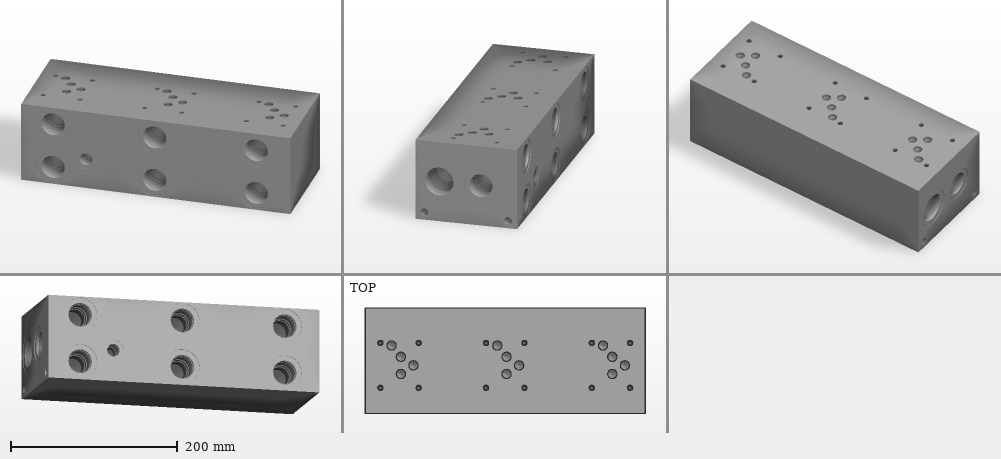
import cadquery as cq
import math

LENGTH = 336.55
WIDTH = 127.0
HEIGHT = 101.6

SPOTFACE_DEPTH = 0.8
SEAL_CONE_LENGTH = 3.0
MEDIUM_PORT = dict(
    spotface=42.04, cone_mouth=29.2, cone_root=27.43, thread=26.99, minor=24.92, drill=23.01,
    thread_depth=20.0, minor_depth=25.0, drill_depth=40.0,
)
LARGE_PORT = dict(
    spotface=49.12, cone_mouth=35.7, cone_root=33.76, thread=33.34, minor=31.27, drill=28.57,
    thread_depth=20.0, minor_depth=25.0, drill_depth=40.0,
)
GAUGE_PORT = dict(
    spotface=25.2, cone_mouth=15.5, cone_root=14.7, thread=14.29, minor=12.9, drill=11.91,
    thread_depth=13.0, minor_depth=16.0, drill_depth=25.0,
)

VALVE_BOLT_HOLE = dict(thread=6.35, drill=5.11, thread_depth=11.0, drill_depth=15.0)
MOUNTING_HOLE = dict(thread=9.53, drill=7.92, thread_depth=15.0, drill_depth=20.0)

DRILL_POINT_ANGLE = 118.0

STATION_COUNT = 3
STATION_PITCH = 127.0
BOLT_SPAN_X = 46.0
BOLT_SPAN_Y = 54.0
FIRST_BOLT_X = (LENGTH - (STATION_COUNT - 1) * STATION_PITCH - BOLT_SPAN_X) / 2
FIRST_BOLT_Y = 30.95

VALVE_PORT_DIAMETER = 11.11
VALVE_PORT_DEPTH = 3.2
VALVE_PORT_OFFSETS = [(13.5, 50.8), (24.6, 37.3), (24.6, 16.7), (39.7, 27.0)]

FIRST_WORK_PORT_X = 39.69
WORK_PORT_EDGE = 22.3
WORK_PORT_HEIGHTS = [WORK_PORT_EDGE, HEIGHT - WORK_PORT_EDGE]
GAUGE_PORT_X = 80.9
GAUGE_PORT_Z = 38.1

TANK_PORT_Y = 97.4
PRESSURE_PORT_Y = 45.4
MOUNTING_HOLE_EDGE = 11.1
MOUNTING_HOLE_Z = 9.53


def front_plane(x, z):
    """Sketch plane at a point of the front face; its local Y points into the block."""
    return cq.Plane(origin=(x, 0, z), xDir=(1, 0, 0), normal=(0, 0, 1))


def end_plane(y, z):
    """Sketch plane at a point of the X = 0 face; its local Y points into the block."""
    return cq.Plane(origin=(0, y, z), xDir=(0, 1, 0), normal=(0, 0, -1))


def top_plane(x, y):
    """Sketch plane at a point of the top face; its local Y points into the block."""
    return cq.Plane(origin=(x, y, HEIGHT), xDir=(1, 0, 0), normal=(0, 1, 0))


def bore(plane, steps):
    """Revolved bore from (diameter, depth) steps, closed by a drill point below the last step."""
    wall = [(diameter / 2, depth) for diameter, depth in steps]
    last_radius, last_depth = wall[-1]
    point_length = last_radius / math.tan(math.radians(DRILL_POINT_ANGLE / 2))
    profile = [(0, 0)] + wall + [(0, last_depth + point_length)]
    return cq.Workplane(plane).polyline(profile).close().revolve(360, (0, 0), (0, 1))


def tapped_port(plane, size):
    cone_depth = SPOTFACE_DEPTH + SEAL_CONE_LENGTH
    steps = [
        (size["spotface"], 0),
        (size["spotface"], SPOTFACE_DEPTH),
        (size["cone_mouth"], SPOTFACE_DEPTH),
        (size["cone_root"], cone_depth),
        (size["thread"], cone_depth),
        (size["thread"], size["thread_depth"]),
        (size["minor"], size["thread_depth"]),
        (size["minor"], size["minor_depth"]),
        (size["drill"], size["minor_depth"]),
        (size["drill"], size["drill_depth"]),
    ]
    return bore(plane, steps)


def bolt_hole(plane, size):
    steps = [
        (size["thread"], 0),
        (size["thread"], size["thread_depth"]),
        (size["drill"], size["thread_depth"]),
        (size["drill"], size["drill_depth"]),
    ]
    return bore(plane, steps)


def valve_port(plane):
    return bore(plane, [(VALVE_PORT_DIAMETER, 0), (VALVE_PORT_DIAMETER, VALVE_PORT_DEPTH)])


def station_bores(shift):
    """Bolt holes, valve ports and work ports of the station shifted along X."""
    bolt_x = FIRST_BOLT_X + shift
    bores = []
    for dx in (0, BOLT_SPAN_X):
        for dy in (0, BOLT_SPAN_Y):
            bores.append(bolt_hole(top_plane(bolt_x + dx, FIRST_BOLT_Y + dy), VALVE_BOLT_HOLE))
    for dx, dy in VALVE_PORT_OFFSETS:
        bores.append(valve_port(top_plane(bolt_x + dx, FIRST_BOLT_Y + dy)))
    for z in WORK_PORT_HEIGHTS:
        bores.append(tapped_port(front_plane(FIRST_WORK_PORT_X + shift, z), MEDIUM_PORT))
    return bores


def end_face_bores():
    """Tank port, pressure port and the two mounting holes."""
    bores = [
        tapped_port(end_plane(TANK_PORT_Y, HEIGHT / 2), LARGE_PORT),
        tapped_port(end_plane(PRESSURE_PORT_Y, HEIGHT / 2), MEDIUM_PORT),
    ]
    for y in (MOUNTING_HOLE_EDGE, WIDTH - MOUNTING_HOLE_EDGE):
        bores.append(bolt_hole(end_plane(y, MOUNTING_HOLE_Z), MOUNTING_HOLE))
    return bores


all_bores = end_face_bores()
all_bores.append(tapped_port(front_plane(GAUGE_PORT_X, GAUGE_PORT_Z), GAUGE_PORT))
for station in range(STATION_COUNT):
    all_bores.extend(station_bores(station * STATION_PITCH))

result = cq.Workplane("XY").box(LENGTH, WIDTH, HEIGHT, centered=False)
for cutter in all_bores:
    result = result.cut(cutter)